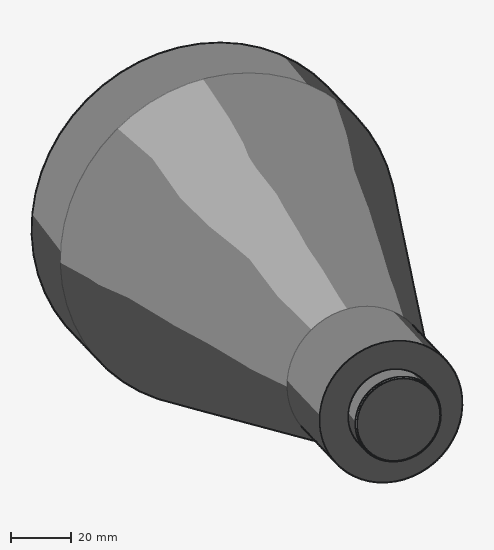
import cadquery as cq

total_length = 208.8
base_diameter = 118.0
base_length = 30.0
neck_diameter = 50.1
neck_length = 34.5
stub_diameter = 30.0
stub_length = 8.0
stub_chamfer = 0.5

neck_end = total_length - stub_length
neck_start = neck_end - neck_length

half_section = (
    cq.Workplane("XZ")
    .moveTo(0, 0)
    .lineTo(0, base_diameter / 2)
    .lineTo(base_length, base_diameter / 2)
    .lineTo(neck_start, neck_diameter / 2)
    .lineTo(neck_end, neck_diameter / 2)
    .lineTo(neck_end, stub_diameter / 2)
    .lineTo(total_length - stub_chamfer, stub_diameter / 2)
    .lineTo(total_length, stub_diameter / 2 - stub_chamfer)
    .lineTo(total_length, 0)
    .close()
)

result = half_section.revolve(360, (0, 0, 0), (1, 0, 0))